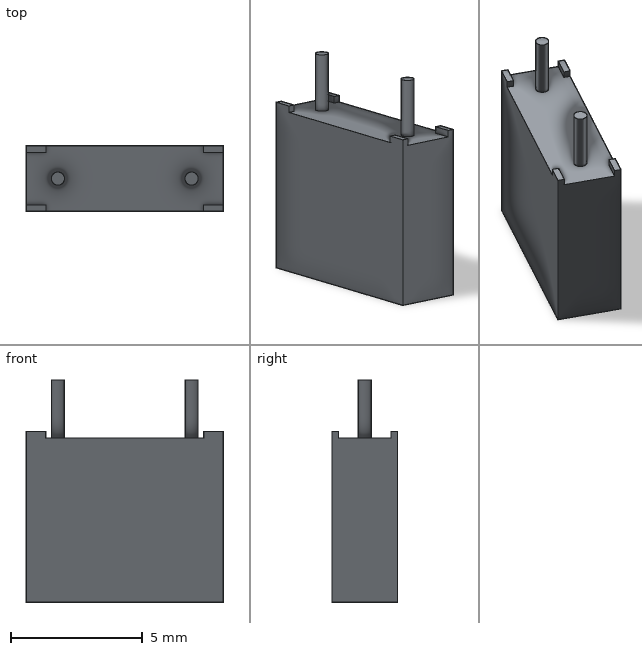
import cadquery as cq

body_length = 7.5
body_width = 2.5
body_height = 6.245

foot_length = 0.75
foot_width = 0.25
foot_height = 0.25

pin_diameter = 0.5
pin_spacing = 5.08
total_height = 8.45
pin_height = total_height - body_height


def make_body():
    return cq.Workplane("XY").box(body_length, body_width, body_height, centered=(True, True, False))


def add_feet(part):
    feet = (
        cq.Workplane("XY", origin=(0, 0, body_height))
        .rect(body_length - foot_length, body_width - foot_width, forConstruction=True)
        .vertices()
        .rect(foot_length, foot_width)
        .extrude(foot_height)
    )
    return part.union(feet)


def add_pins(part):
    pins = (
        cq.Workplane("XY", origin=(0, 0, body_height))
        .pushPoints([(-pin_spacing / 2, 0), (pin_spacing / 2, 0)])
        .circle(pin_diameter / 2)
        .extrude(pin_height)
    )
    return part.union(pins)


result = add_pins(add_feet(make_body()))